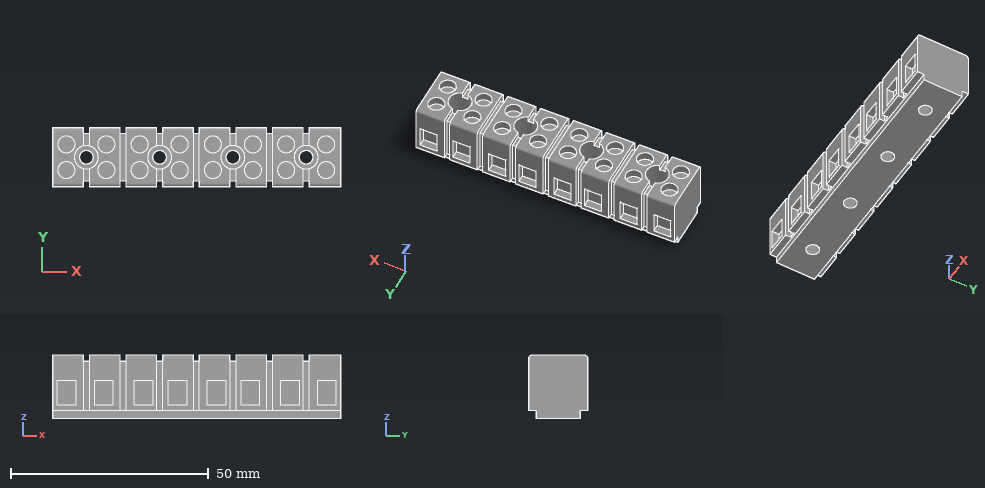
import cadquery as cq

length = 72.75
width = 15.0
height = 16.1
foot_width = 11.2
foot_height = 2.0
top_edge_radius = 1.0

block_count = 8
groove_pitch = 9.25
groove_width = 1.5
groove_depth_top = 1.6
groove_depth_side = 1.5
first_groove_x = -length / 2 + groove_pitch - groove_width / 2
groove_xs = [first_groove_x + i * groove_pitch for i in range(block_count - 1)]

mount_xs = groove_xs[::2]
mount_hole_diameter = 3.4
mount_bore_diameter = 6.0
mount_bore_depth = 8.0

well_diameter = 4.3
well_depth = 2.5
well_offset_x = 5.05
well_offset_y = 3.25

entry_width = 4.75
entry_height = 6.15
entry_bottom = 3.5
entry_depth = 2.0
entry_distances = [3.45, 12.9, 22.95, 31.5, 41.4, 49.9, 59.95, 69.2]
entry_xs = [distance - length / 2 for distance in entry_distances]


def box_at(size_x, size_y, size_z, x, y, z_bottom):
    """Box centred on x and y, standing on z_bottom."""
    box = cq.Workplane("XY").box(size_x, size_y, size_z, centered=(True, True, False))
    return box.translate((x, y, z_bottom))


def make_body():
    """Rounded-top block on a narrower foot."""
    block = box_at(length, width, height - foot_height, 0, 0, foot_height)
    block = block.edges("|X and >Z").fillet(top_edge_radius)
    return block.union(box_at(length, foot_width, foot_height, 0, 0, 0))


def make_groove(x):
    """Groove running across the top and down both sides to the foot."""
    upper_height = height - foot_height
    outside = box_at(groove_width, width, upper_height, x, 0, foot_height)
    web_width = width - 2 * groove_depth_side
    web = box_at(groove_width, web_width, upper_height - groove_depth_top, x, 0, foot_height)
    return outside.cut(web)


def drill_holes(body, points, diameter, depth):
    """Drill vertical holes of the given depth from the top face."""
    top_plane = cq.Workplane("XY").workplane(offset=height)
    cutters = top_plane.pushPoints(points).circle(diameter / 2).extrude(-depth)
    return body.cut(cutters)


def cut_entries(body, x):
    """Cut a wire entry into each long side at x."""
    entry_y = (width - entry_depth) / 2
    for side_y in (-1, 1):
        entry = box_at(entry_width, entry_depth, entry_height, x, side_y * entry_y, entry_bottom)
        body = body.cut(entry)
    return body


result = make_body()

for groove_x in groove_xs:
    result = result.cut(make_groove(groove_x))

mount_points = [(x, 0) for x in mount_xs]
result = drill_holes(result, mount_points, mount_hole_diameter, height)
result = drill_holes(result, mount_points, mount_bore_diameter, mount_bore_depth)

well_points = [
    (x + side_x * well_offset_x, side_y * well_offset_y)
    for x in mount_xs
    for side_x in (-1, 1)
    for side_y in (-1, 1)
]
result = drill_holes(result, well_points, well_diameter, well_depth)

for entry_x in entry_xs:
    result = cut_entries(result, entry_x)